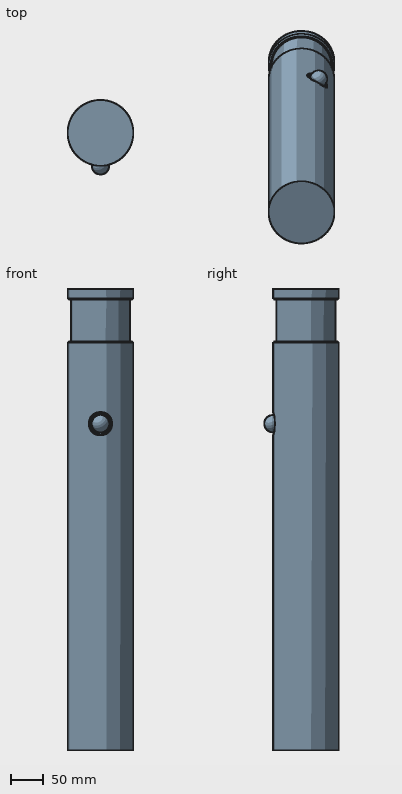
import cadquery as cq
import math

height = 700.0
post_radius = 100.0 / 2
neck_radius = 90.0 / 2

cap_height = 17.0
shoulder_drop = 79.0
edge_chamfer = 3.0

button_drop = 204.5
socket_diameter = 36.0
socket_depth = 7.0
collar_radius = 31.5 / 2
dome_radius = 13.0
collar_depth = 3.0
button_projection = 13.0


def make_post():
    """Tube, neck and cap turned about the vertical axis."""
    shoulder_z = height - shoulder_drop
    cap_bottom_z = height - cap_height
    chamfer_radius = post_radius - edge_chamfer
    return (
        cq.Workplane("XZ")
        .lineTo(post_radius, 0)
        .lineTo(post_radius, shoulder_z - edge_chamfer)
        .lineTo(chamfer_radius, shoulder_z)
        .lineTo(neck_radius, shoulder_z)
        .lineTo(neck_radius, cap_bottom_z)
        .lineTo(chamfer_radius, cap_bottom_z)
        .lineTo(post_radius, cap_bottom_z + edge_chamfer)
        .lineTo(post_radius, height)
        .lineTo(0, height)
        .close()
        .revolve(360, (0, 0, 0), (0, 1, 0))
    )


def socket_floor_plane():
    """Plane on the socket floor, facing -Y."""
    origin = (0, socket_depth - post_radius, height - button_drop)
    return cq.Plane(origin=origin, xDir=(1, 0, 0), normal=(0, -1, 0))


def make_socket():
    """Round pocket that surrounds the button."""
    clearance = socket_depth
    return (
        cq.Workplane(socket_floor_plane())
        .circle(socket_diameter / 2)
        .extrude(socket_depth + clearance)
    )


def make_button():
    """Hemispherical button standing on a round collar, turned about the socket axis."""
    collar_face = socket_depth - collar_depth
    tip = socket_depth + button_projection
    dome_center = tip - dome_radius
    dome_diagonal = dome_radius * math.sqrt(0.5)
    axial_plane = cq.Plane(origin=socket_floor_plane().origin, xDir=(1, 0, 0), normal=(0, 0, -1))
    return (
        cq.Workplane(axial_plane)
        .lineTo(collar_radius, 0)
        .lineTo(collar_radius, collar_face)
        .lineTo(dome_radius, collar_face)
        .lineTo(dome_radius, dome_center)
        .threePointArc((dome_diagonal, dome_center + dome_diagonal), (0, tip))
        .close()
        .revolve(360, (0, 0, 0), (0, 1, 0))
    )


result = make_post().cut(make_socket()).union(make_button())